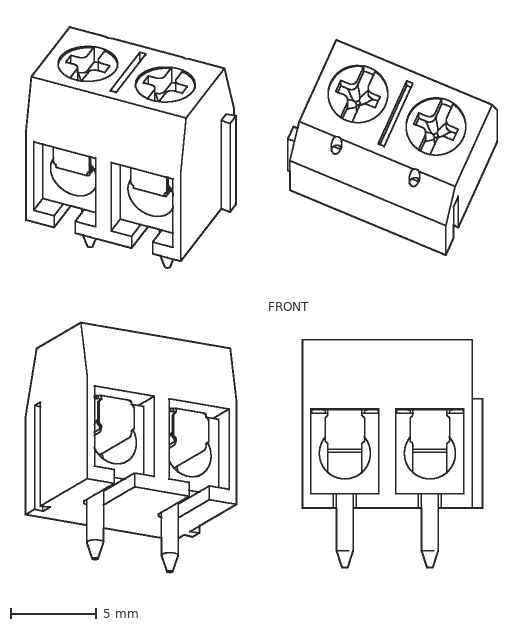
import cadquery as cq
import math


HOUSING_WIDTH = 10.0
HOUSING_DEPTH = 7.6
OVERALL_HEIGHT = 13.4
PIN_LENGTH = 3.5
HOUSING_HEIGHT = OVERALL_HEIGHT - PIN_LENGTH
FRONT_BEVEL_DEPTH = 0.76
FRONT_BEVEL_BASE = 6.43
BACK_BEVEL_DEPTH = 1.37
BACK_BEVEL_BASE = 6.06

POLE_PITCH = HOUSING_WIDTH / 2
POLE_POSITIONS = [-POLE_PITCH / 2, POLE_PITCH / 2]
SCREW_Y = 3.31
PIN_Y = 3.62

DOVETAIL_ROOT = 0.68
DOVETAIL_TIP = 0.87
DOVETAIL_LENGTH = 0.6
DOVETAIL_Y = 6.11
DOVETAIL_TOP = FRONT_BEVEL_BASE

TOP_SLOT_WIDTH = 0.39
TOP_SLOT_LENGTH = 4.22
TOP_SLOT_DEPTH = 1.0
TOP_SLOT_Y = 3.52

BACK_HOLE_RADIUS = 0.31
BACK_HOLE_Y = 6.49
BACK_HOLE_FLOOR = 8.04
BACK_HOLE_RAMP_FOOT = 6.31

CAGE_WIDTH = 3.99
CAGE_FRONT = 1.3
CAGE_BACK = 5.36
CAGE_BOTTOM = 0.86
CAGE_TOP = 5.57
WIRE_HOLE_RADIUS = 1.5
WIRE_HOLE_Z = 3.22
PIN_RADIUS = 0.5
PIN_TIP_RADIUS = 0.17
PIN_TIP_LENGTH = 1.0
PIN_SLOT_WIDTH = 1.35

SHEET = 0.2
WASHER_RADIUS = 1.95
WASHER_TOP = CAGE_TOP + SHEET
LEAF_FRONT = 0.96
LEAF_WIDTH = 2.01
PANEL_WIDTH = 2.33
PANEL_CHAMFER = (PANEL_WIDTH - LEAF_WIDTH) / 2
FRONT_BEND_RADIUS = 0.32
TAIL_STEP_RUN = 0.1
TAIL_STEP_DROP = 0.2
TONGUE_BOTTOM = 3.47
TAIL_BOTTOM = 1.68
TAIL_BACK = CAGE_BACK + SHEET
TAB_FRONT = 1.35

CAVITY_TOP = 5.83
CAVITY_BACK = TAIL_BACK

HEAD_RADIUS = 1.75
HEAD_BOTTOM = 6.16
HEAD_ROUNDING = 0.2
SHANK_RADIUS = 1.27
SHANK_BOTTOM = 4.42
DRIVE_WIDTH = 0.74
SHORT_SLOT_LENGTH = 2.52
DRIVE_CORNER_RADIUS = DRIVE_WIDTH / 2
DRIVE_DEPTH = 1.1
PIT_MOUTH = 0.98
PIT_THROAT = 0.67
PIT_TIP = 0.23
PIT_ANGLE = math.radians(53)


def block(x_range, y_range, z_range):
    """Box between the given limits."""
    size = [high - low for low, high in (x_range, y_range, z_range)]
    return cq.Workplane("XY").box(*size, centered=False).translate((x_range[0], y_range[0], z_range[0]))


def cylinder(radius, x, y, bottom, top):
    """Upright cylinder."""
    return cq.Workplane("XY", origin=(x, y, bottom)).circle(radius).extrude(top - bottom)


def centred(width, x=0):
    """Limits of a width centred on x."""
    return (x - width / 2, x + width / 2)


def dovetail(root_x):
    """Upright dovetail that widens toward +X from its root."""
    return (
        cq.Workplane("XY")
        .moveTo(root_x, DOVETAIL_Y - DOVETAIL_ROOT / 2)
        .lineTo(root_x + DOVETAIL_LENGTH, DOVETAIL_Y - DOVETAIL_TIP / 2)
        .lineTo(root_x + DOVETAIL_LENGTH, DOVETAIL_Y + DOVETAIL_TIP / 2)
        .lineTo(root_x, DOVETAIL_Y + DOVETAIL_ROOT / 2)
        .close()
        .extrude(DOVETAIL_TOP)
    )


def back_hole(x):
    """Upright hole through the back bevel, with a ramp along the front of its floor."""
    ramp_back = BACK_HOLE_RAMP_FOOT
    ramp_front = BACK_HOLE_Y - BACK_HOLE_RADIUS
    ramp = (
        cq.Workplane("YZ", origin=(x - BACK_HOLE_RADIUS, 0, 0))
        .moveTo(ramp_back, BACK_HOLE_FLOOR)
        .lineTo(ramp_front, BACK_HOLE_FLOOR)
        .lineTo(ramp_front, BACK_HOLE_FLOOR + ramp_back - ramp_front)
        .close()
        .extrude(2 * BACK_HOLE_RADIUS)
    )
    return cylinder(BACK_HOLE_RADIUS, x, BACK_HOLE_Y, BACK_HOLE_FLOOR, HOUSING_HEIGHT).cut(ramp)


def pole_cavity(x):
    """Space for one pole: wire opening, screw bore and open-fronted pin slot."""
    opening = block(centred(CAGE_WIDTH, x), (0, CAVITY_BACK), (CAGE_BOTTOM, CAVITY_TOP))
    bore = cylinder(HEAD_RADIUS, x, SCREW_Y, CAVITY_TOP, HOUSING_HEIGHT)
    slot = block(centred(PIN_SLOT_WIDTH, x), (0, PIN_Y), (0, CAGE_BOTTOM))
    slot_end = cylinder(PIN_SLOT_WIDTH / 2, x, PIN_Y, 0, CAGE_BOTTOM)
    return opening.union(bore).union(slot).union(slot_end)


def make_housing():
    """Housing with both pole cavities, the dovetails and the top slot."""
    body = (
        cq.Workplane("YZ", origin=(-HOUSING_WIDTH / 2, 0, 0))
        .moveTo(0, 0)
        .lineTo(HOUSING_DEPTH, 0)
        .lineTo(HOUSING_DEPTH, BACK_BEVEL_BASE)
        .lineTo(HOUSING_DEPTH - BACK_BEVEL_DEPTH, HOUSING_HEIGHT)
        .lineTo(FRONT_BEVEL_DEPTH, HOUSING_HEIGHT)
        .lineTo(0, FRONT_BEVEL_BASE)
        .close()
        .extrude(HOUSING_WIDTH)
    )
    body = body.union(dovetail(HOUSING_WIDTH / 2))
    body = body.cut(dovetail(-HOUSING_WIDTH / 2))
    body = body.cut(
        block(
            centred(TOP_SLOT_WIDTH),
            centred(TOP_SLOT_LENGTH, TOP_SLOT_Y),
            (HOUSING_HEIGHT - TOP_SLOT_DEPTH, HOUSING_HEIGHT),
        )
    )
    for x in POLE_POSITIONS:
        body = body.cut(pole_cavity(x)).cut(back_hole(x))
    return body


def make_terminal(x):
    """Clamp cage with its solder pin."""
    cage = block(centred(CAGE_WIDTH, x), (CAGE_FRONT, CAGE_BACK), (CAGE_BOTTOM, CAGE_TOP))
    wire_hole = (
        cq.Workplane("XZ", origin=(x, CAGE_FRONT, WIRE_HOLE_Z))
        .circle(WIRE_HOLE_RADIUS)
        .extrude(CAGE_FRONT - CAGE_BACK)
    )
    screw_hole = cylinder(SHANK_RADIUS, x, SCREW_Y, SHANK_BOTTOM, CAGE_TOP)
    pin = (
        cylinder(PIN_RADIUS, x, PIN_Y, -PIN_LENGTH, CAGE_BOTTOM)
        .faces("<Z")
        .chamfer(PIN_TIP_LENGTH, PIN_RADIUS - PIN_TIP_RADIUS)
    )
    return cage.cut(wire_hole).cut(screw_hole).union(pin)


def leaf_strip(x):
    """Sheet strip: forward off the washer, down the front, back through the wire hole, down the rear."""
    diagonal = math.sqrt(0.5)
    outer, inner = FRONT_BEND_RADIUS, FRONT_BEND_RADIUS - SHEET
    front_y = LEAF_FRONT + outer
    top_z = WASHER_TOP - outer
    low_z = TONGUE_BOTTOM + outer
    tongue_top = TONGUE_BOTTOM + SHEET
    return (
        cq.Workplane("YZ", origin=(x - LEAF_WIDTH / 2, 0, 0))
        .moveTo(SCREW_Y, WASHER_TOP)
        .lineTo(front_y, WASHER_TOP)
        .threePointArc((front_y - outer * diagonal, top_z + outer * diagonal), (LEAF_FRONT, top_z))
        .lineTo(LEAF_FRONT, low_z)
        .threePointArc((front_y - outer * diagonal, low_z - outer * diagonal), (front_y, TONGUE_BOTTOM))
        .lineTo(CAGE_BACK - TAIL_STEP_RUN, TONGUE_BOTTOM)
        .lineTo(CAGE_BACK, TONGUE_BOTTOM - TAIL_STEP_DROP)
        .lineTo(CAGE_BACK, TAIL_BOTTOM)
        .lineTo(TAIL_BACK, TAIL_BOTTOM)
        .lineTo(TAIL_BACK, tongue_top - TAIL_STEP_DROP)
        .lineTo(TAIL_BACK - TAIL_STEP_RUN, tongue_top)
        .lineTo(front_y, tongue_top)
        .threePointArc((front_y - inner * diagonal, low_z - inner * diagonal), (LEAF_FRONT + SHEET, low_z))
        .lineTo(LEAF_FRONT + SHEET, top_z)
        .threePointArc((front_y - inner * diagonal, top_z + inner * diagonal), (front_y, CAGE_TOP))
        .lineTo(SCREW_Y, CAGE_TOP)
        .close()
        .extrude(LEAF_WIDTH)
    )


def make_wire_guard(x):
    """Washer under the screw head with a leaf that shields the wire from the screw."""
    washer = cylinder(WASHER_RADIUS, x, SCREW_Y, CAGE_TOP, WASHER_TOP)
    tab = block(centred(PANEL_WIDTH, x), (TAB_FRONT, SCREW_Y), (CAGE_TOP, WASHER_TOP))
    panel = (
        block(
            centred(PANEL_WIDTH, x),
            (LEAF_FRONT, LEAF_FRONT + SHEET),
            (TONGUE_BOTTOM + FRONT_BEND_RADIUS, WASHER_TOP - FRONT_BEND_RADIUS),
        )
        .edges("|Y")
        .chamfer(PANEL_CHAMFER)
    )
    screw_hole = cylinder(SHANK_RADIUS, x, SCREW_Y, CAGE_TOP, WASHER_TOP)
    return washer.union(tab).union(leaf_strip(x)).union(panel).cut(screw_hole)


def drive_cross(height):
    """Cross-shaped prism standing on Z = 0, rounded where the arms meet."""
    long_slot = block(centred(DRIVE_WIDTH), centred(2 * HEAD_RADIUS), (0, height))
    short_slot = block(centred(SHORT_SLOT_LENGTH), centred(DRIVE_WIDTH), (0, height))
    inner_corners = cq.selectors.BoxSelector(
        (-DRIVE_WIDTH, -DRIVE_WIDTH, 0), (DRIVE_WIDTH, DRIVE_WIDTH, height)
    )
    return long_slot.union(short_slot).edges("|Z").edges(inner_corners).fillet(DRIVE_CORNER_RADIUS)


def drive_pit():
    """Star-shaped pit below the cross, with its mouth at Z = 0."""
    rounding = (PIT_MOUTH - PIT_THROAT) / math.sin(PIT_ANGLE)
    throat_z = -rounding * (1 - math.cos(PIT_ANGLE))
    mid_x = PIT_MOUTH - rounding * math.sin(PIT_ANGLE / 2)
    mid_z = -rounding * (1 - math.cos(PIT_ANGLE / 2))
    depth = (PIT_THROAT - PIT_TIP) * math.tan(PIT_ANGLE) - throat_z
    trough = (
        cq.Workplane("XZ", origin=(0, PIT_MOUTH, 0))
        .moveTo(-PIT_MOUTH, 0)
        .threePointArc((-mid_x, mid_z), (-PIT_THROAT, throat_z))
        .lineTo(-PIT_TIP, -depth)
        .lineTo(PIT_TIP, -depth)
        .lineTo(PIT_THROAT, throat_z)
        .threePointArc((mid_x, mid_z), (PIT_MOUTH, 0))
        .close()
        .extrude(2 * PIT_MOUTH)
    )
    pit = trough.intersect(trough.rotate((0, 0, 0), (0, 0, 1), 90))
    pit = pit.intersect(drive_cross(depth).translate((0, 0, -depth)))
    corner = 2 * DRIVE_CORNER_RADIUS
    base_radius = DRIVE_CORNER_RADIUS + depth / math.tan(PIT_ANGLE)
    for x in (-corner, corner):
        for y in (-corner, corner):
            cone = cq.Solid.makeCone(base_radius, DRIVE_CORNER_RADIUS, depth, cq.Vector(x, y, -depth))
            pit = pit.cut(cq.Workplane(cone))
    return pit


def make_screw(x):
    """Screw with a rounded head, flush with the housing, and a cross recess."""
    head = cylinder(HEAD_RADIUS, x, SCREW_Y, HEAD_BOTTOM, HOUSING_HEIGHT)
    head = head.faces(">Z").edges().fillet(HEAD_ROUNDING)
    shank = cylinder(SHANK_RADIUS, x, SCREW_Y, SHANK_BOTTOM, HEAD_BOTTOM)
    recess = drive_cross(DRIVE_DEPTH).union(drive_pit()).translate((x, SCREW_Y, HOUSING_HEIGHT - DRIVE_DEPTH))
    return head.union(shank).cut(recess)


housing = make_housing()
terminals = [make_terminal(x) for x in POLE_POSITIONS]
wire_guards = [make_wire_guard(x) for x in POLE_POSITIONS]
screws = [make_screw(x) for x in POLE_POSITIONS]

bodies = [housing, *terminals, *wire_guards, *screws]
result = cq.Compound.makeCompound([body.solids().val() for body in bodies])